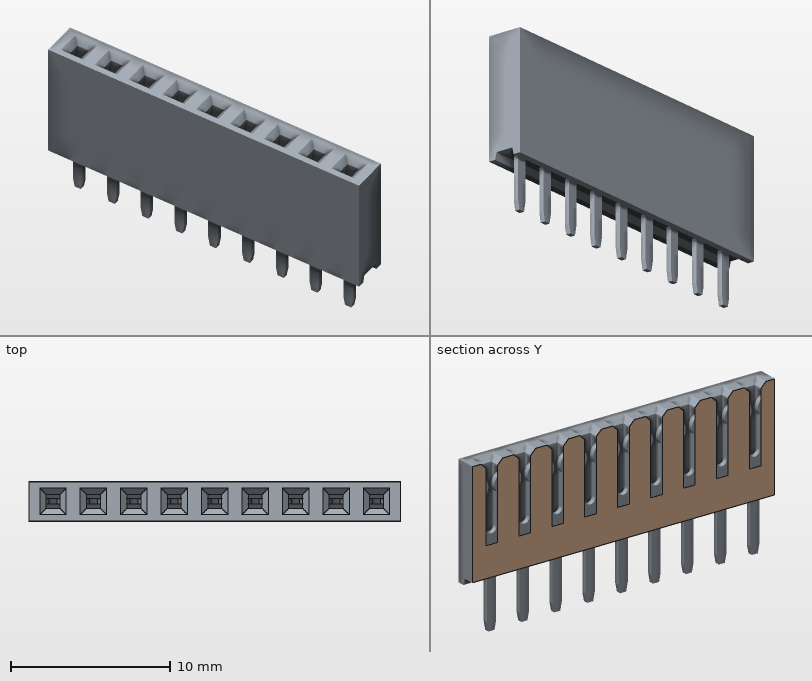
import cadquery as cq
import math

housing_length = 23.35
housing_width = 2.5
housing_height = 8.5
channel_depth = 0.5
channel_roof_width = 1.25
channel_mouth_width = 1.5

contact_count = 9
end_margin = 1.52
pitch = (housing_length - 2 * end_margin) / (contact_count - 1)

mouth_width = 1.65
well_width = 0.86
mouth_depth = 0.4
well_floor_z = 2.8
fork_slot_drop = 0.12

sheet_thickness = 0.35
tail_width = 0.72
tail_length = 3.2
tip_width = 0.47
tip_height = 0.65
fork_width = 1.65
fork_top_gap = 0.54
fork_base_height = 0.7
throat_width = 0.5
bulge_radius = 0.82
lead_in_angle = math.radians(60)
gap_width = 0.8

mouth_floor_z = housing_height - mouth_depth
fork_slot_top_z = mouth_floor_z - fork_slot_drop
fork_top_z = fork_slot_top_z - fork_top_gap
contact_xs = [end_margin - housing_length / 2 + i * pitch for i in range(contact_count)]


def make_channel():
    """Trapezoidal channel along the underside, wider at its mouth."""
    return (
        cq.Workplane("YZ", origin=(-housing_length / 2, 0, 0))
        .moveTo(-channel_mouth_width / 2, 0)
        .lineTo(-channel_roof_width / 2, channel_depth)
        .lineTo(channel_roof_width / 2, channel_depth)
        .lineTo(channel_mouth_width / 2, 0)
        .close()
        .extrude(housing_length)
    )


def make_socket(x):
    """Tapered mouth, square well, slots for the fork beside it, and the slit for the tail."""
    mouth = (
        cq.Workplane("XY", origin=(x, 0, mouth_floor_z))
        .rect(well_width, well_width)
        .workplane(offset=mouth_depth)
        .rect(mouth_width, mouth_width)
        .loft(ruled=True)
    )
    well = (
        cq.Workplane("XY", origin=(x, 0, well_floor_z))
        .rect(well_width, well_width)
        .extrude(mouth_floor_z - well_floor_z)
    )
    fork_slot = (
        cq.Workplane("XY", origin=(x, 0, well_floor_z))
        .rect(fork_width, sheet_thickness)
        .extrude(fork_slot_top_z - well_floor_z)
    )
    tail_slit = cq.Workplane("XY", origin=(x, 0, 0)).rect(tail_width, sheet_thickness).extrude(well_floor_z)
    return mouth.union(well).union(fork_slot).union(tail_slit)


def make_housing():
    """Block with the channel and one socket for each contact."""
    body = cq.Workplane("XY").box(
        housing_length, housing_width, housing_height, centered=(True, True, False)
    )
    body = body.cut(make_channel())
    for x in contact_xs:
        body = body.cut(make_socket(x))
    return body


def make_contact(x):
    """Sheet contact: pointed tail, and two arms that bulge towards each other."""
    half_fork = fork_width / 2
    half_tail = tail_width / 2
    half_tip = tip_width / 2
    half_throat = throat_width / 2
    half_gap = gap_width / 2
    lead_in_end = half_throat + bulge_radius * (1 - math.cos(lead_in_angle))
    throat_z = fork_top_z - bulge_radius * math.sin(lead_in_angle)
    back_angle = math.acos(1 - (half_gap - half_throat) / bulge_radius)
    bulge_end_z = throat_z - bulge_radius * math.sin(back_angle)
    gap_bottom_z = well_floor_z + fork_base_height
    gap_round_z = gap_bottom_z + half_gap
    taper_z = tip_height - tail_length
    return (
        cq.Workplane("XZ", origin=(x, sheet_thickness / 2, 0))
        .moveTo(-half_tip, -tail_length)
        .lineTo(half_tip, -tail_length)
        .lineTo(half_tail, taper_z)
        .lineTo(half_tail, well_floor_z)
        .lineTo(half_fork, well_floor_z)
        .lineTo(half_fork, fork_top_z)
        .lineTo(lead_in_end, fork_top_z)
        .threePointArc((half_throat, throat_z), (half_gap, bulge_end_z))
        .lineTo(half_gap, gap_round_z)
        .threePointArc((0, gap_bottom_z), (-half_gap, gap_round_z))
        .lineTo(-half_gap, bulge_end_z)
        .threePointArc((-half_throat, throat_z), (-lead_in_end, fork_top_z))
        .lineTo(-half_fork, fork_top_z)
        .lineTo(-half_fork, well_floor_z)
        .lineTo(-half_tail, well_floor_z)
        .lineTo(-half_tail, taper_z)
        .close()
        .extrude(sheet_thickness)
    )


housing = make_housing()
contacts = [make_contact(x) for x in contact_xs]
result = cq.Compound.makeCompound([housing.solids().val(), *[contact.val() for contact in contacts]])